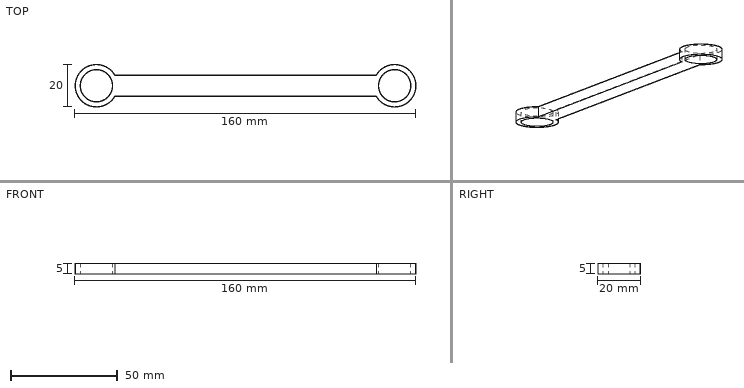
import cadquery as cq

length = 160.0
ring_diameter = 20.0
hole_diameter = 15.0
bar_width = 10.0
thickness = 5.0

center_distance = length - ring_diameter
ring_centers = [(-center_distance / 2, 0), (center_distance / 2, 0)]

bar = cq.Workplane("XY").rect(center_distance, bar_width).extrude(thickness)

rings = cq.Workplane("XY").pushPoints(ring_centers).circle(ring_diameter / 2).extrude(thickness)

holes = cq.Workplane("XY").pushPoints(ring_centers).circle(hole_diameter / 2).extrude(thickness)

result = bar.union(rings).cut(holes)